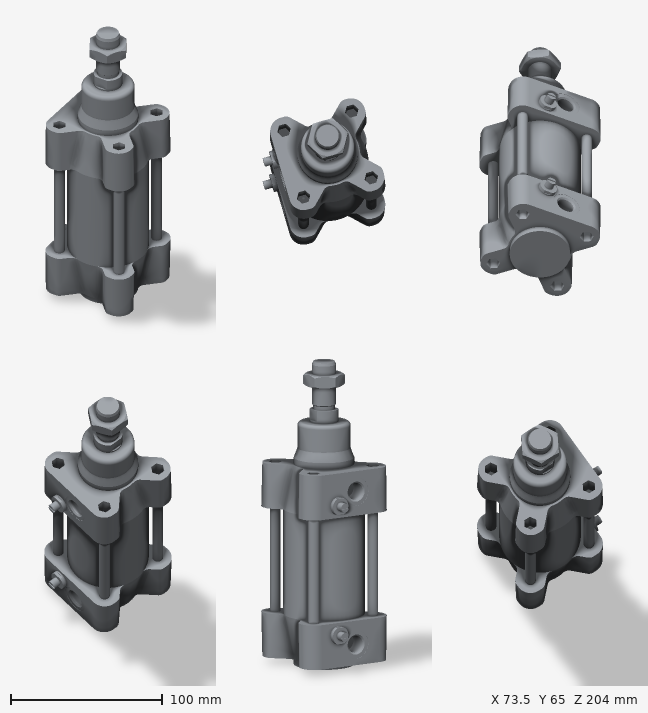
import cadquery as cq
import math

TOTAL_LENGTH = 204.0
CAP_BOTTOM = 4.3
CAP_HEIGHT = 30.0
UPPER_CAP_TOP = 135.0
NECK_TOP = 163.6
MIRROR_HEIGHT = (CAP_BOTTOM + UPPER_CAP_TOP) / 2
OVERALL_DEPTH = 73.5

HEX_SIDES = 6
HEX_CORNER_RATIO = 1 / math.cos(math.pi / HEX_SIDES)

CAP_WIDTH = 65.0
CAP_HALF = CAP_WIDTH / 2
CAP_CORNER_RADIUS = 9.4
DRAFT_ANGLE = 1.0
NOTCH_HALF_WIDTH = 19.2
NOTCH_LIP_RADIUS = 5.0
NOTCH_ROOT_RADIUS = 5.0
NOTCH_ANGLES = (-90, 0, 90)
CORE_OUTER_RADIUS = 21.5

TUBE_DIAMETER = 54.0
TIE_ROD_DIAMETER = 7.1
TIE_ROD_SPACING = 46.5
SOCKET_FLATS = 8.0
SOCKET_DEPTH = 16.0

COLLAR_DIAMETER = 40.0
COLLAR_HEIGHT = 4.3
NECK_DIAMETER = 35.0
NECK_BOTTOM = 145.9
NECK_EDGE_RADIUS = 2.5

PORT_Y = -4.3
PORT_INSET = 13.9
PORT_DIAMETER = 11.5
PORT_DEPTH = 12.2
PORT_CHAMFER = 1.0
SEAT_DIAMETER = 19.0
SEAT_DEPTH = 0.2
SCREW_Y = 10.0
SCREW_INSET = 21.8
SCREW_DIAMETER = 6.0
SCREW_REACH = OVERALL_DEPTH - CAP_WIDTH
SLOT_WIDTH = 1.5
SLOT_DEPTH = 0.8
COLLET_DIAMETER = 12.0
COLLET_REACH = 3.0
COLLET_FLATS = 10.8
COLLET_ROUND_LENGTH = 1.0

ROD_DIAMETER = 19.0
ROD_SHOULDER = 172.0
ROD_FLATS = 16.7
ROD_FLATS_BOTTOM = 164.8
UNDERCUT_DIAMETER = 14.5
UNDERCUT_TOP = 175.2
THREAD_DIAMETER = 16.0
THREAD_TIP_CHAMFER = 2.0
THREAD_RUNOUT = 0.6
THREAD_TIP_DIAMETER = 14.5

NUT_BOTTOM = 187.9
NUT_HEIGHT = 8.0
NUT_FLATS = 24.0
NUT_CHAMFER_ANGLE = 30.0


def make_notch():
    """Wedge with drafted 45 degree walls, opening toward +X and clear of the conical core."""
    apex = CAP_HALF - NOTCH_HALF_WIDTH
    overrun = CAP_HALF
    wedge = (
        cq.Workplane("XY")
        .workplane(offset=UPPER_CAP_TOP)
        .polyline([(apex, 0), (apex + overrun, -overrun), (apex + overrun, overrun)])
        .close()
        .extrude(-CAP_HEIGHT, taper=DRAFT_ANGLE)
    )
    core = cq.Workplane("XY").add(
        cq.Solid.makeCone(
            TUBE_DIAMETER / 2,
            CORE_OUTER_RADIUS,
            CAP_HEIGHT,
            pnt=cq.Vector(0, 0, UPPER_CAP_TOP - CAP_HEIGHT),
        )
    )
    return wedge.cut(core).edges("%HYPERBOLA").fillet(NOTCH_ROOT_RADIUS)


def make_cap_block():
    """Square block with an upright -X side and three sides that lean in toward the outer face."""
    inner_face = cq.Workplane("XY").workplane(offset=UPPER_CAP_TOP - CAP_HEIGHT)
    leaning_block = inner_face.rect(2 * CAP_WIDTH, CAP_WIDTH).extrude(CAP_HEIGHT, taper=DRAFT_ANGLE)
    leaning_block = leaning_block.translate((CAP_HALF - CAP_WIDTH, 0, 0))
    upright_block = inner_face.rect(CAP_WIDTH, CAP_WIDTH).extrude(CAP_HEIGHT)
    return leaning_block.intersect(upright_block).edges("not(#Z or |X or |Y)").fillet(CAP_CORNER_RADIUS)


def is_notch_lip(edge):
    """True for the steep edges where a notch wall meets a side of the block."""
    middle = edge.Center()
    along_side = min(abs(middle.x), abs(middle.y))
    is_steep = edge.BoundingBox().zlen > CAP_HEIGHT / 2
    return is_steep and abs(along_side - NOTCH_HALF_WIDTH) < NOTCH_LIP_RADIUS / 2


def make_port_cutter():
    """Blind port with a chamfered mouth inside a shallow round seat, entering from the -X side."""
    face = cq.Workplane("YZ", origin=(-CAP_HALF, PORT_Y, UPPER_CAP_TOP - PORT_INSET))
    seat = face.circle(SEAT_DIAMETER / 2).extrude(SEAT_DEPTH)
    port = face.circle(PORT_DIAMETER / 2).extrude(PORT_DEPTH)
    mouth = cq.Workplane("XY").add(
        cq.Solid.makeCone(
            PORT_DIAMETER / 2 + PORT_CHAMFER,
            PORT_DIAMETER / 2,
            PORT_CHAMFER,
            pnt=cq.Vector(-CAP_HALF + SEAT_DEPTH, PORT_Y, UPPER_CAP_TOP - PORT_INSET),
            dir=cq.Vector(1, 0, 0),
        )
    )
    return seat.union(port).union(mouth)


def make_cushion_screw():
    """Slotted screw in a collet that is flattened above and below beyond its round base."""
    face = cq.Workplane("YZ", origin=(-CAP_HALF, SCREW_Y, UPPER_CAP_TOP - SCREW_INSET))
    base = face.circle(COLLET_DIAMETER / 2).extrude(-COLLET_ROUND_LENGTH)
    flat_bar = face.rect(COLLET_DIAMETER, COLLET_FLATS).extrude(-COLLET_REACH)
    collet = face.circle(COLLET_DIAMETER / 2).extrude(-COLLET_REACH).intersect(flat_bar)
    slot = (
        face.workplane(offset=-SCREW_REACH)
        .rect(2 * SCREW_DIAMETER, SLOT_WIDTH)
        .extrude(SLOT_DEPTH)
    )
    screw = face.circle(SCREW_DIAMETER / 2).extrude(-SCREW_REACH).cut(slot)
    return base.union(collet).union(screw)


def make_upper_cap():
    """Upper end cap with notches, hexagon sockets, air port and cushion screw."""
    cap = make_cap_block()
    notch = make_notch()
    for angle in NOTCH_ANGLES:
        cap = cap.cut(notch.rotate((0, 0, 0), (0, 0, 1), angle))
    lips = [edge for edge in cap.edges().vals() if is_notch_lip(edge)]
    cap = cap.newObject(lips).fillet(NOTCH_LIP_RADIUS)
    sockets = (
        cq.Workplane("XY")
        .workplane(offset=UPPER_CAP_TOP)
        .rect(TIE_ROD_SPACING, TIE_ROD_SPACING, forConstruction=True)
        .vertices()
        .polygon(HEX_SIDES, SOCKET_FLATS * HEX_CORNER_RATIO)
        .extrude(-SOCKET_DEPTH)
    )
    return cap.cut(sockets).cut(make_port_cutter()).union(make_cushion_screw())


def make_neck():
    """Collar above the upper cap that narrows to the rod bearing neck."""
    collar_top = UPPER_CAP_TOP + COLLAR_HEIGHT
    return (
        cq.Workplane("XZ")
        .moveTo(0, UPPER_CAP_TOP)
        .lineTo(COLLAR_DIAMETER / 2, UPPER_CAP_TOP)
        .lineTo(COLLAR_DIAMETER / 2, collar_top)
        .lineTo(NECK_DIAMETER / 2, NECK_BOTTOM)
        .lineTo(NECK_DIAMETER / 2, NECK_TOP)
        .lineTo(0, NECK_TOP)
        .close()
        .revolve(360, (0, 0, 0), (0, 1, 0))
        .faces(">Z")
        .edges()
        .fillet(NECK_EDGE_RADIUS)
    )


def make_housing():
    """Barrel, tie rods, both end caps, the neck and the rear collar as one solid."""
    upper_cap = make_upper_cap()
    lower_cap = upper_cap.mirror("XY", (0, 0, MIRROR_HEIGHT))
    lower_cap_top = CAP_BOTTOM + CAP_HEIGHT
    gap = UPPER_CAP_TOP - CAP_HEIGHT - lower_cap_top
    between_caps = cq.Workplane("XY").workplane(offset=lower_cap_top)
    tube = between_caps.circle(TUBE_DIAMETER / 2).extrude(gap)
    tie_rods = (
        between_caps.rect(TIE_ROD_SPACING, TIE_ROD_SPACING, forConstruction=True)
        .vertices()
        .circle(TIE_ROD_DIAMETER / 2)
        .extrude(gap)
    )
    rear_collar = cq.Workplane("XY").circle(COLLAR_DIAMETER / 2).extrude(CAP_BOTTOM)
    housing = upper_cap.union(tube).union(tie_rods).union(lower_cap)
    return housing.union(rear_collar).union(make_neck())


def make_piston_rod():
    """Rod standing on the neck, with two wrench flats, a thread undercut and a chamfered thread."""
    thread_radius = THREAD_DIAMETER / 2
    rod = (
        cq.Workplane("XZ")
        .moveTo(0, NECK_TOP)
        .lineTo(ROD_DIAMETER / 2, NECK_TOP)
        .lineTo(ROD_DIAMETER / 2, ROD_SHOULDER)
        .lineTo(UNDERCUT_DIAMETER / 2, ROD_SHOULDER)
        .lineTo(UNDERCUT_DIAMETER / 2, UNDERCUT_TOP - THREAD_RUNOUT)
        .lineTo(thread_radius, UNDERCUT_TOP)
        .lineTo(thread_radius, TOTAL_LENGTH - THREAD_TIP_CHAMFER)
        .lineTo(THREAD_TIP_DIAMETER / 2, TOTAL_LENGTH)
        .lineTo(0, TOTAL_LENGTH)
        .close()
        .revolve(360, (0, 0, 0), (0, 1, 0))
    )
    flats_height = ROD_SHOULDER - ROD_FLATS_BOTTOM
    for side in (-1, 1):
        flat_cutter = cq.Workplane("XY").box(
            ROD_DIAMETER, ROD_DIAMETER, flats_height, centered=(True, True, False)
        )
        offset = side * (ROD_FLATS + ROD_DIAMETER) / 2
        rod = rod.cut(flat_cutter.translate((0, offset, ROD_FLATS_BOTTOM)))
    return rod


def make_nut():
    """Hexagon lock nut with its corners chamfered at both ends and a bore that fits the thread."""
    across_corners = NUT_FLATS * HEX_CORNER_RATIO
    nut_plane = cq.Workplane("XY").workplane(offset=NUT_BOTTOM)
    hexagon = nut_plane.polygon(HEX_SIDES, across_corners).extrude(NUT_HEIGHT)
    corner_inset = (across_corners - NUT_FLATS) / 2
    corner_drop = corner_inset * math.tan(math.radians(NUT_CHAMFER_ANGLE))
    envelope = (
        nut_plane.circle(across_corners / 2)
        .extrude(NUT_HEIGHT)
        .faces("<Z or >Z")
        .chamfer(corner_drop, corner_inset)
    )
    bore = nut_plane.circle(THREAD_DIAMETER / 2).extrude(NUT_HEIGHT)
    return hexagon.intersect(envelope).cut(bore)


housing = make_housing().solids()
piston_rod = make_piston_rod().solids()
nut = make_nut().solids()

result = cq.Compound.makeCompound([housing.val(), piston_rod.val(), nut.val()])